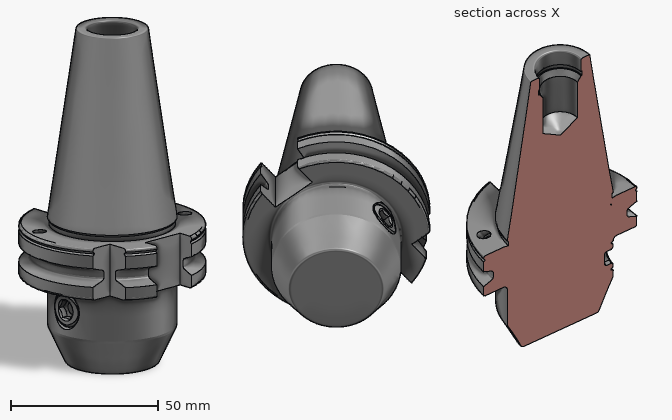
import cadquery as cq
import math

total_height = 118.4

gauge_height = 50.0
gauge_radius = 22.3
taper_half_slope = 7 / 48
taper_bottom = 51.3
taper_end_fillet = 0.7

relief_radius = 21.5
relief_top = 50.5
dish_floor = 48.9
dish_radius = 23.1

flange_diameter = 63.6
flange_radius = flange_diameter / 2
flange_top = 49.3
flange_bottom = 30.9
flange_edge_fillet = 0.8
rim_groove_top = 48.1
rim_groove_bottom = 46.6
rim_groove_depth = 0.6

grip_center = 38.8
grip_half_width = 3.3
grip_root_radius = 27.8
grip_half_root = 1.7
grip_root_fillet = 1.1

slot_width = 16.1
slot_floor_left = 22.9
slot_floor_right = 25.1
notch_corner = 18.2

body_radius = 22.0
nose_radius = 15.9
nose_cone_top = 13.1
nose_cone_fillet = 2.1
nose_fillet = 1.4
neck_fillet = 1.5

stud_bore_radius = 8.5
stud_mouth_fillet = 1.0
stud_relief_radius = 9.0
stud_relief_top = 6.0
stud_relief_bottom = 7.8
thread_radius = 7.1
thread_start = 10.1
thread_depth = 26.0
drill_point_angle = 118
drill_point_depth = thread_radius / math.tan(math.radians(drill_point_angle / 2))

coolant_radius = 2.0
coolant_circle = 26.9
coolant_angle = 70.3
coolant_tilt = 33.0
plug_face_depth = 2.6
plug_hex_flats = 2.0
plug_hex_depth = 2.0

screw_height = 22.6
screw_hole_radius = 6.0
screw_mouth_radius = 6.7
screw_face_radius = 5.1
screw_face_depth = 0.1
hex_flats = 6.0
hex_depth = 3.5
hex_mouth_radius = 3.8
hex_floor_radius = 2.4


def hexagon(across_flats):
    """Hexagon outline, with two corners on the X axis."""
    return cq.Workplane().polygon(6, across_flats / math.cos(math.radians(30)))


def revolve_profile(points):
    """Turn a closed (radius, height) outline around Z."""
    return cq.Workplane("XZ").polyline(points).close().revolve(360, (0, 0), (0, 1))


def fillet_circle(solid, radius, height, fillet_radius):
    """Round the circular edge that has the given radius and height."""
    tolerance = 0.01

    def is_wanted(edge):
        return (
            edge.geomType() == "CIRCLE"
            and abs(edge.radius() - radius) < tolerance
            and abs(edge.Center().z - height) < tolerance
        )

    wanted = [edge for edge in solid.edges().vals() if is_wanted(edge)]
    return solid.newObject(wanted).fillet(fillet_radius)


def taper_radius(height):
    return gauge_radius - (height - gauge_height) * taper_half_slope


def make_turned_body():
    """Nose, flange and taper as one turned solid."""
    rim_groove_radius = flange_radius - rim_groove_depth
    body = revolve_profile([
        (0, 0),
        (nose_radius, 0),
        (body_radius, nose_cone_top),
        (body_radius, flange_bottom),
        (flange_radius, flange_bottom),
        (flange_radius, grip_center - grip_half_width),
        (grip_root_radius, grip_center - grip_half_root),
        (grip_root_radius, grip_center + grip_half_root),
        (flange_radius, grip_center + grip_half_width),
        (flange_radius, rim_groove_bottom),
        (rim_groove_radius, rim_groove_bottom + rim_groove_depth),
        (flange_radius, rim_groove_top),
        (flange_radius, flange_top),
        (dish_radius, flange_top),
        (relief_radius, dish_floor),
        (relief_radius, relief_top),
        (taper_radius(taper_bottom), taper_bottom),
        (taper_radius(total_height), total_height),
        (0, total_height),
    ])
    body = fillet_circle(body, nose_radius, 0, nose_fillet)
    body = fillet_circle(body, body_radius, nose_cone_top, nose_cone_fillet)
    body = fillet_circle(body, body_radius, flange_bottom, neck_fillet)
    body = fillet_circle(body, flange_radius, flange_bottom, flange_edge_fillet)
    body = fillet_circle(body, grip_root_radius, grip_center - grip_half_root, grip_root_fillet)
    body = fillet_circle(body, grip_root_radius, grip_center + grip_half_root, grip_root_fillet)
    body = fillet_circle(body, flange_radius, flange_top, flange_edge_fillet)
    return fillet_circle(body, taper_radius(total_height), total_height, taper_end_fillet)


def make_stud_bore():
    """Stepped bore with a relief, a lead-in cone and a drill point."""
    levels = [
        (0, 0),
        (stud_bore_radius, 0),
        (stud_bore_radius, stud_relief_top),
        (stud_relief_radius, stud_relief_top),
        (stud_relief_radius, stud_relief_bottom),
        (stud_bore_radius, stud_relief_bottom),
        (thread_radius, thread_start),
        (thread_radius, thread_depth),
        (0, thread_depth + drill_point_depth),
    ]
    return revolve_profile([(radius, total_height - depth) for radius, depth in levels])


def make_flange_cuts():
    """Two drive slots of unequal depth and the corner notch, through the flange and the fillet below it."""
    cut_bottom = flange_bottom - neck_fillet
    height = flange_top - cut_bottom
    reach = 2 * flange_radius

    def block(x_start, y_start, x_end, y_end):
        corner = (x_start, y_start, cut_bottom)
        box = cq.Workplane().box(x_end - x_start, y_end - y_start, height, centered=False)
        return box.translate(corner)

    left_slot = block(-reach, -slot_width / 2, -slot_floor_left, slot_width / 2)
    right_slot = block(slot_floor_right, -slot_width / 2, reach, slot_width / 2)
    notch = block(notch_corner, -reach, reach, -notch_corner)
    return left_slot.union(right_slot).union(notch)


def make_coolant_hole(angle):
    """Leaning hole in the flange face, closed by a plug screw with a hexagon socket."""
    overrun = 2 * coolant_radius
    hole = cq.Workplane().circle(coolant_radius).extrude(plug_face_depth + overrun)
    socket = hexagon(plug_hex_flats).extrude(-plug_hex_depth)
    hole = hole.union(socket).translate((0, 0, -plug_face_depth))
    hole = hole.rotate((0, 0, 0), (0, 1, 0), coolant_tilt)
    return hole.translate((coolant_circle, 0, flange_top)).rotate((0, 0, 0), (0, 0, 1), angle)


def make_screw_recess():
    """Countersunk hole down to the bevelled screw face, and the hexagon socket in that face."""
    overrun = 1.2
    face_bevel = screw_hole_radius - screw_face_radius
    mouth = revolve_profile([
        (0, -overrun),
        (screw_mouth_radius + overrun, -overrun),
        (screw_hole_radius, screw_mouth_radius - screw_hole_radius),
        (screw_hole_radius, screw_face_depth + face_bevel),
        (screw_face_radius, screw_face_depth),
        (0, screw_face_depth),
    ])

    hex_inner_radius = hex_flats / 2
    lead_in_bottom = screw_face_depth + hex_mouth_radius - hex_inner_radius
    lead_in = revolve_profile([
        (0, screw_face_depth),
        (hex_mouth_radius, screw_face_depth),
        (hex_inner_radius, lead_in_bottom),
        (0, lead_in_bottom),
    ])

    socket_bottom = screw_face_depth + hex_depth
    socket_limit = revolve_profile([
        (0, screw_face_depth),
        (hex_mouth_radius, screw_face_depth),
        (hex_mouth_radius, socket_bottom - (hex_mouth_radius - hex_floor_radius)),
        (hex_floor_radius, socket_bottom),
        (0, socket_bottom),
    ])
    socket = hexagon(hex_flats).extrude(socket_bottom).intersect(socket_limit)

    recess = mouth.union(socket).union(lead_in)
    recess = recess.rotate((0, 0, 0), (1, 0, 0), -90)
    return recess.translate((0, -body_radius, screw_height))


result = make_turned_body().cut(make_stud_bore())
result = fillet_circle(result, stud_bore_radius, total_height, stud_mouth_fillet)
result = result.cut(make_flange_cuts())
for hole_angle in (coolant_angle, coolant_angle + 180):
    result = result.cut(make_coolant_hole(hole_angle))
result = result.cut(make_screw_recess())